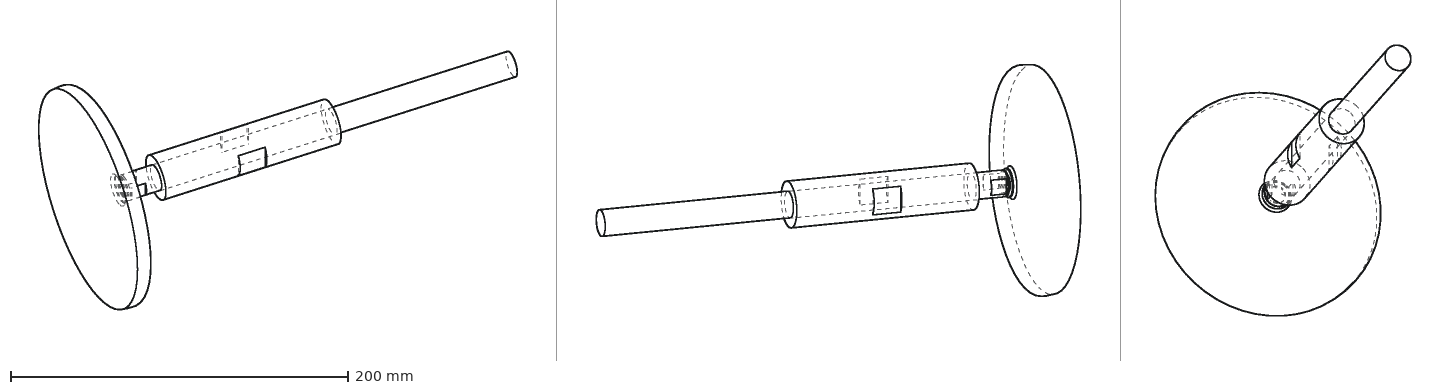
import cadquery as cq

overall_length = 278.0

foot_radius = 137.98 / 2
foot_base_radius = 68.5
base_taper_height = 4.1
rim_top = 7.0
shoulder_radius = 66.4
shoulder_height = 9.7
cone_top_radius = 10.0
cone_top = 19.4
collar_radius = 8.4
lip_radius = 8.8
lip_bottom = 21.0
collar_top = 21.9

spindle_radius = 16.0 / 2
neck_radius = 5.2
neck_top = 23.2
spindle_end_radius = 7.4
spindle_shoulder = 24.0
spindle_flats_start = 25.0
spindle_flats_length = 9.6
spindle_flats_width = 13.0

sleeve_radius = 28.0 / 2
sleeve_start = 44.5
sleeve_length = 115.0
sleeve_flats_length = 17.5
sleeve_flats_width = 23.0


def cylinder(radius, start, length):
    """Cylinder along Y that begins at Y = start."""
    return cq.Workplane("XZ", origin=(0, start, 0)).circle(radius).extrude(-length)


def cut_flats(body, radius, across_flats, start, length):
    """Cut two opposite wrench flats, facing -X and +X, into a round body."""
    depth = radius - across_flats / 2
    for side in (-1, 1):
        cutter = cq.Workplane("XY").box(depth, length, 2 * radius)
        middle_x = side * (across_flats / 2 + depth / 2)
        body = body.cut(cutter.translate((middle_x, start + length / 2, 0)))
    return body


def make_foot():
    half_profile = (
        cq.Workplane("XY")
        .lineTo(0, collar_top)
        .lineTo(lip_radius, collar_top)
        .lineTo(collar_radius, lip_bottom)
        .lineTo(cone_top_radius, cone_top)
        .lineTo(shoulder_radius, shoulder_height)
        .tangentArcPoint((foot_radius, rim_top), relative=False)
        .lineTo(foot_radius, base_taper_height)
        .lineTo(foot_base_radius, 0)
        .close()
    )
    return half_profile.revolve(360, (0, 0), (0, 1))


def make_spindle():
    half_profile = (
        cq.Workplane("XY")
        .moveTo(0, collar_top)
        .lineTo(neck_radius, collar_top)
        .lineTo(neck_radius, neck_top)
        .lineTo(spindle_end_radius, neck_top)
        .lineTo(spindle_radius, spindle_shoulder)
        .lineTo(spindle_radius, overall_length)
        .lineTo(0, overall_length)
        .close()
    )
    spindle = half_profile.revolve(360, (0, 0), (0, 1))
    return cut_flats(
        spindle, spindle_radius, spindle_flats_width, spindle_flats_start, spindle_flats_length
    )


def make_sleeve():
    sleeve = cylinder(sleeve_radius, sleeve_start, sleeve_length)
    sleeve = sleeve.cut(cylinder(spindle_radius, sleeve_start, sleeve_length))
    flats_start = sleeve_start + (sleeve_length - sleeve_flats_length) / 2
    return cut_flats(sleeve, sleeve_radius, sleeve_flats_width, flats_start, sleeve_flats_length)


foot = make_foot()
spindle = make_spindle()
sleeve = make_sleeve()

result = cq.Compound.makeCompound([foot.val(), spindle.val(), sleeve.val()])